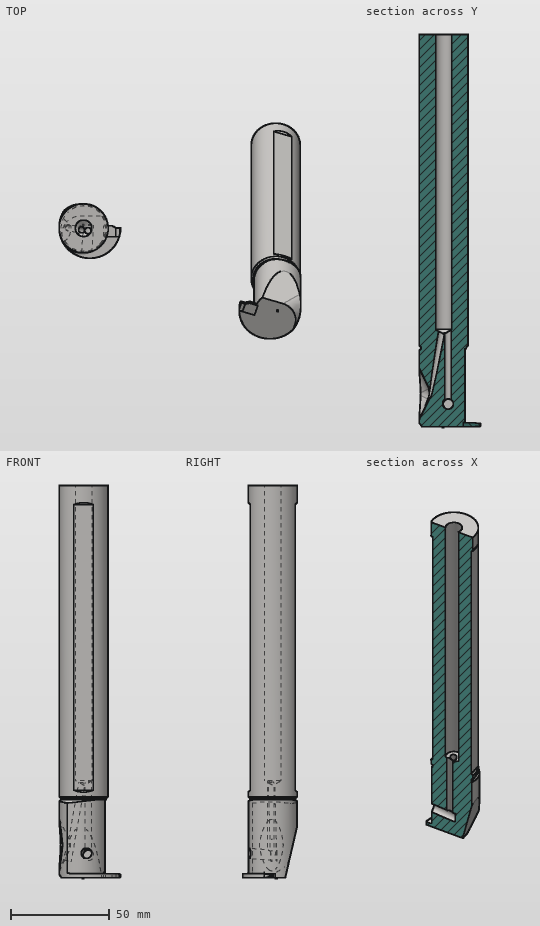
import cadquery as cq
import math

total_length = 200.0
shank_diameter = 25.0
shank_radius = shank_diameter / 2
shank_length = 158.2

nub_height = 0.5
nub_radius = 0.5
nub_center = (-0.5, 1.8)

width_across_flats = 23.0
flat_offset = width_across_flats / 2
flat_bottom = 45.0
flat_top = 190.2

neck_radius = 11.5
neck_length = 0.8
neck_depth = shank_radius - neck_radius
head_top = total_length - shank_length - neck_depth - neck_length

head_radius = 12.5
head_center_x = -1.5
disc_center = (3.2, 0.5)
disc_radius = disc_center[0] + shank_radius
disc_thickness = 2.2
disc_top = nub_height + disc_thickness
disc_fillet = 0.5

relief_center = (-1.5, -3.2)
relief_radius = 9.5
relief_lean_x = -0.72
relief_lean_y = 0.23

bore_radius = 4.2
bore_bottom = 50.0
drill_point_angle = 118.0
passage_radius = 1.5
recess_passage_top = (-0.8, -0.8)
recess_passage_end = (-8.0, 0.5, 9.2)
front_passage_x = 2.2
front_passage_y = -1.2
front_hole_radius = 2.5
front_hole_z = 12.2
front_hole_slope = 0.07
front_hole_overrun = 3.0

recess_radius = 6.5
recess_slope = 26.0
recess_floor_x = -6.8
recess_y = -1.0
recess_z = 17.2

insert_root_x = 10.0
insert_front_y = -4.2
insert_back_y = 1.5
chip_wall_back_x = 14.5
tip_start_x = 16.5
tip_end_x = 19.0
tip_back_y = 0.2
tip_land = 1.2
tip_front_x = 18.2
tip_inset = 0.2
tip_corner = 0.5

clearance = 40.0


def at_height(z):
    """XY workplane at a given height."""
    return cq.Workplane().workplane(offset=z)


def rod(start, end, radius):
    """Solid cylinder from one point to another."""
    axis = end - start
    return cq.Workplane(obj=cq.Solid.makeCylinder(radius, axis.Length, start, axis))


def make_shank():
    shank = at_height(head_top).circle(shank_radius).extrude(total_length - head_top)
    flat_depth = shank_radius - flat_offset
    for side in (-1, 1):
        cutter = (
            cq.Workplane("YZ")
            .moveTo(side * flat_offset, flat_bottom)
            .lineTo(side * flat_offset, flat_top)
            .lineTo(side * shank_radius, flat_top + flat_depth)
            .lineTo(side * shank_radius, flat_bottom - flat_depth)
            .close()
            .extrude(shank_radius, both=True)
        )
        shank = shank.cut(cutter)
    return shank


def make_disc_cylinder(height):
    return at_height(nub_height).center(*disc_center).circle(disc_radius).extrude(height)


def make_head():
    height = head_top - nub_height
    column = at_height(nub_height).center(head_center_x, 0).circle(head_radius).extrude(height)
    column = column.intersect(make_disc_cylinder(height))
    front_half = (
        at_height(nub_height)
        .center(disc_center[0], insert_front_y - disc_radius)
        .rect(2 * disc_radius, 2 * disc_radius)
        .extrude(disc_thickness)
    )
    blade = make_disc_cylinder(disc_thickness).intersect(front_half)
    head = column.union(blade)
    foot = cq.selectors.NearestToPointSelector((head_center_x, -head_radius, disc_top))
    return head.edges(foot).fillet(disc_fillet)


def make_nub():
    return cq.Workplane().center(*nub_center).circle(nub_radius).extrude(disc_top)


def make_groove_cutter():
    """Ring with a trapezoidal section around the bar axis."""
    shank_end = total_length - shank_length
    groove_bottom = head_top - neck_depth
    rim = shank_radius + neck_depth
    return (
        cq.Workplane("XZ")
        .moveTo(neck_radius, head_top)
        .lineTo(neck_radius, head_top + neck_length)
        .lineTo(rim, shank_end + neck_depth)
        .lineTo(rim, groove_bottom - neck_depth)
        .close()
        .revolve(360, (0, 0, 0), (0, 1, 0))
    )


def make_relief_envelope():
    """Leaning prism that holds all the material kept after the relief is cut."""
    x, y = relief_center
    corner = relief_radius * math.sqrt(0.5)
    outline = (
        at_height(nub_height)
        .moveTo(x - relief_radius, y - clearance)
        .lineTo(x - relief_radius, y)
        .threePointArc((x - corner, y + corner), (x, y + relief_radius))
        .lineTo(x + 2 * clearance, y + relief_radius)
        .lineTo(x + 2 * clearance, y - clearance)
        .close()
    )
    lean = cq.Vector(relief_lean_x, relief_lean_y, 1) * head_top
    return cq.Workplane(obj=cq.Solid.extrudeLinear(outline.val(), [], lean))


def make_recess_cutter():
    slope = math.radians(recess_slope)
    bend = cq.Vector(recess_floor_x - recess_radius, recess_y, recess_z)
    cutter = cq.Workplane().sphere(recess_radius).translate(bend)
    for side in (-1, 1):
        path = cq.Vector(-math.sin(slope), 0, side * math.cos(slope)) * clearance
        cutter = cutter.union(rod(bend, bend + path, recess_radius))
    return cutter


def make_coolant_cutter():
    bore_floor = cq.Vector(0, 0, bore_bottom)
    bore = rod(bore_floor, cq.Vector(0, 0, total_length), bore_radius)
    recess_passage = rod(
        cq.Vector(*recess_passage_top, bore_bottom), cq.Vector(*recess_passage_end), passage_radius
    )
    crossing = cq.Vector(front_passage_x, front_passage_y, front_hole_z)
    front_passage = rod(
        cq.Vector(front_passage_x, front_passage_y, bore_bottom), crossing, passage_radius
    )
    front_hole_axis = cq.Vector(front_hole_slope, 1, -front_hole_slope)
    front_hole = rod(
        crossing - front_hole_axis * clearance,
        crossing + front_hole_axis * front_hole_overrun,
        front_hole_radius,
    )
    point_length = bore_radius / math.tan(math.radians(drill_point_angle / 2))
    point = cq.Solid.makeCone(bore_radius, 0, point_length, bore_floor, cq.Vector(0, 0, -1))
    bore = bore.union(cq.Workplane(obj=point))
    return bore.union(recess_passage).union(front_passage).union(front_hole)


def make_insert():
    plan = (
        at_height(nub_height)
        .moveTo(insert_root_x, insert_front_y)
        .lineTo(tip_front_x, insert_front_y)
        .lineTo(tip_end_x, tip_back_y - tip_land)
        .lineTo(tip_end_x, tip_back_y)
        .lineTo(tip_start_x, tip_back_y)
        .lineTo(chip_wall_back_x, insert_back_y)
        .lineTo(insert_root_x, insert_back_y)
        .close()
        .extrude(disc_thickness)
    )
    bottom = nub_height + tip_inset
    top = disc_top - tip_inset
    profile = (
        cq.Workplane("XZ")
        .moveTo(insert_root_x, nub_height)
        .lineTo(tip_start_x, nub_height)
        .lineTo(tip_start_x, bottom)
        .lineTo(tip_end_x - tip_corner, bottom)
        .lineTo(tip_end_x, bottom + tip_corner)
        .lineTo(tip_end_x, top - tip_corner)
        .lineTo(tip_end_x - tip_corner, top)
        .lineTo(tip_start_x, top)
        .lineTo(tip_start_x, disc_top)
        .lineTo(insert_root_x, disc_top)
        .close()
        .extrude(clearance, both=True)
    )
    return plan.intersect(profile)


insert = make_insert()
head = make_head().intersect(make_relief_envelope()).union(make_nub())
bar = (
    make_shank()
    .union(head)
    .cut(make_groove_cutter())
    .cut(make_recess_cutter())
    .cut(make_coolant_cutter())
    .cut(insert)
)

result = cq.Compound.makeCompound([bar.val(), insert.val()])